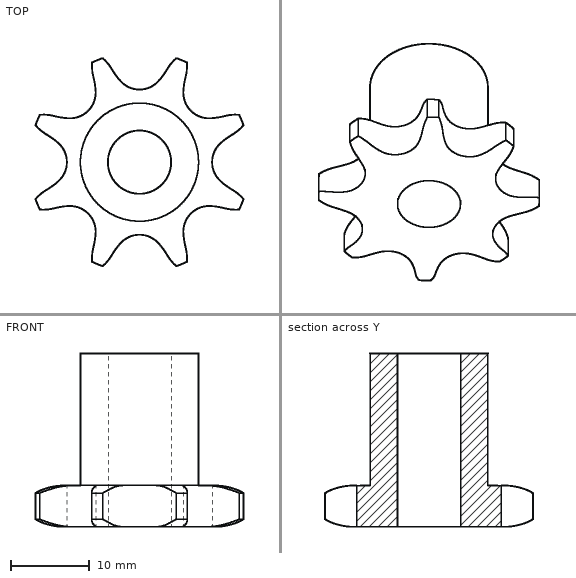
import cadquery as cq
import math

tooth_count = 8
chain_pitch = 9.53
roller_diameter = 6.35
roller_clearance = 0.037
tip_diameter = 28.0
tip_radius = tip_diameter / 2
total_height = 22.0
plate_thickness = 5.28
hub_diameter = 15.0
bore_diameter = 8.0
relief_start_radius = 9.63
relief_depth = 0.98

half_tooth_angle = 180 / tooth_count
pitch_radius = chain_pitch / 2 / math.sin(math.radians(half_tooth_angle))
seat_radius = 1.005 * roller_diameter / 2 + roller_clearance
working_center_offset = 0.8 * roller_diameter
working_radius = seat_radius + working_center_offset
tip_center_offset = 1.4 * roller_diameter
seat_end_angle = -(35 + 60 / tooth_count)
working_end_angle = seat_end_angle + 18 - 56 / tooth_count


def polar(center, radius, degrees):
    """Point at a distance and direction from a center."""
    angle = math.radians(degrees)
    return (center[0] + radius * math.cos(angle), center[1] + radius * math.sin(angle))


def mirrored(point):
    return (-point[0], point[1])


def make_blank():
    """Revolved plate with convex rims on both faces, before the teeth are cut."""
    relief_run = tip_radius - relief_start_radius
    relief_radius = (relief_run**2 + relief_depth**2) / (2 * relief_depth)
    half_sweep = math.asin(relief_run / relief_radius) / 2
    middle_radius = relief_start_radius + relief_radius * math.sin(half_sweep)
    middle_drop = relief_radius * (1 - math.cos(half_sweep))
    return (
        cq.Workplane("XZ")
        .lineTo(relief_start_radius, 0)
        .threePointArc((middle_radius, middle_drop), (tip_radius, relief_depth))
        .lineTo(tip_radius, plate_thickness - relief_depth)
        .threePointArc(
            (middle_radius, plate_thickness - middle_drop),
            (relief_start_radius, plate_thickness),
        )
        .lineTo(0, plate_thickness)
        .close()
        .revolve(360, (0, 0, 0), (0, 1, 0))
    )


def make_tooth_gap():
    """Gap centered on +Y: roller seat, working arcs, short straights and convex tip arcs."""
    seat_center = (0, pitch_radius)
    working_center = polar(seat_center, working_center_offset, seat_end_angle + 180)
    tip_center = polar(seat_center, tip_center_offset, -half_tooth_angle)

    seat_end = polar(seat_center, seat_radius, seat_end_angle)
    working_middle = polar(working_center, working_radius, (seat_end_angle + working_end_angle) / 2)
    working_end = polar(working_center, working_radius, working_end_angle)

    normal = math.radians(working_end_angle)
    tip_arc_radius = (
        (tip_center[0] - working_end[0]) * math.cos(normal)
        + (tip_center[1] - working_end[1]) * math.sin(normal)
    )
    straight_angle = working_end_angle + 180
    straight_end = polar(tip_center, tip_arc_radius, straight_angle)
    tip_middle = polar(tip_center, tip_arc_radius, (straight_angle + 90) / 2)
    tip_end = polar(tip_center, tip_arc_radius, 90)

    return (
        cq.Workplane("XY")
        .moveTo(*mirrored(seat_end))
        .threePointArc((0, pitch_radius - seat_radius), seat_end)
        .threePointArc(working_middle, working_end)
        .lineTo(*straight_end)
        .threePointArc(tip_middle, tip_end)
        .lineTo(*mirrored(tip_end))
        .threePointArc(mirrored(tip_middle), mirrored(straight_end))
        .lineTo(*mirrored(working_end))
        .threePointArc(mirrored(working_middle), mirrored(seat_end))
        .close()
        .extrude(plate_thickness)
    )


sprocket = make_blank()
tooth_gap = make_tooth_gap()
for index in range(tooth_count):
    sprocket = sprocket.cut(tooth_gap.rotate((0, 0, 0), (0, 0, 1), index * 360 / tooth_count))

hub = cq.Workplane("XY").circle(hub_diameter / 2).extrude(total_height)
bore = cq.Workplane("XY").circle(bore_diameter / 2).extrude(total_height)
result = sprocket.union(hub).cut(bore)